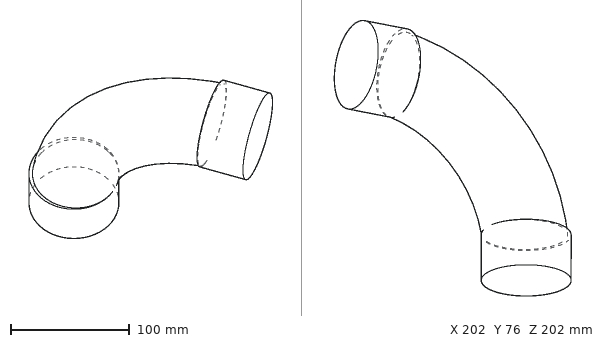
import cadquery as cq

overall_size = 202.0
collar_diameter = 76.0
collar_length = 41.0
pipe_diameter = 72.1
bend_angle = 90.0

bend_start = collar_length / 2
collar_radius = collar_diameter / 2
bend_radius = overall_size - collar_radius - bend_start

end_distance = overall_size - collar_radius


def make_bend():
    """Sweep the pipe section around the bend centre, from vertical to horizontal."""
    section = cq.Workplane("XY").workplane(offset=bend_start).circle(pipe_diameter / 2)
    return section.revolve(bend_angle, (bend_radius, 0, 0), (bend_radius, 1, 0))


def make_collar(plane):
    """Make a solid collar that starts on the plane and runs along its normal."""
    return cq.Workplane(plane).circle(collar_radius).extrude(collar_length)


bottom_plane = cq.Plane(origin=(0, 0, 0), xDir=(1, 0, 0), normal=(0, 0, 1))
side_plane = cq.Plane(origin=(end_distance, 0, end_distance), xDir=(0, 1, 0), normal=(-1, 0, 0))

result = make_bend().union(make_collar(bottom_plane)).union(make_collar(side_plane))